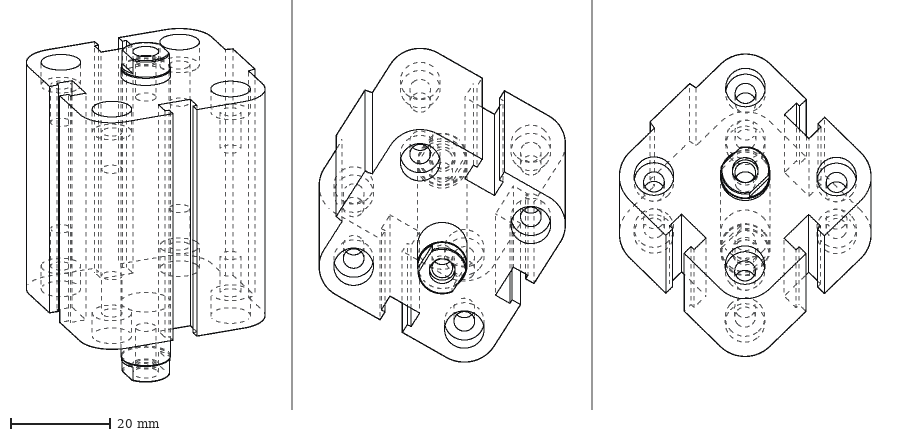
import cadquery as cq


HOUSING_SIDE = 40.0
HOUSING_HEIGHT = 49.7
CORNER_RADIUS = 7.0
END_CAP_HEIGHT = 13.2

RAIL_BASE_WIDTH = 11.85
RAIL_TOP_WIDTH = 11.3
RAIL_RISE = 1.55

SLOT_MOUTH_WIDTH = 5.2
SLOT_INNER_WIDTH = 7.0
SLOT_LIP = 2.0
SLOT_DEPTH = 5.35
SLOT_SIDE_ANGLES = (-90, 0, 180)

HOLE_PITCH = HOUSING_SIDE - 2 * CORNER_RADIUS
HOLE_DIAMETER = 4.15
COUNTERBORE_DIAMETER = 8.0
COUNTERBORE_DEPTH = 5.0
HOLE_DEPTH = END_CAP_HEIGHT

ROD_DIAMETER = 10.0
ROD_LENGTH = 70.5
ROD_TOP_PROJECTION = 5.3
ROD_BOTTOM_PROJECTION = ROD_LENGTH - HOUSING_HEIGHT - ROD_TOP_PROJECTION
ROD_BOTTOM_Z = -ROD_BOTTOM_PROJECTION
ROD_TOP_Z = HOUSING_HEIGHT + ROD_TOP_PROJECTION
ROD_MIDDLE_Z = (ROD_BOTTOM_Z + ROD_TOP_Z) / 2

NECK_DIAMETER = 9.8
NECK_LENGTH = 3.5
SHOULDER_CHAMFER_LENGTH = 0.2
TIP_CHAMFER = 0.2
FLATS_WIDTH = 8.05
FLATS_LENGTH = 3.0

ROD_BORE_DIAMETER = 4.15
ROD_BORE_DEPTH = 10.0
ROD_RECESS_DIAMETER = 5.2
ROD_RECESS_DEPTH = 2.0


def mirrored_ends(feature, middle_z):
    """Return a feature at the upper end and its mirror image at the lower end."""
    return feature, feature.mirror("XY", (0, 0, middle_z))


def stepped_bore(wide_diameter, wide_depth, narrow_diameter, narrow_depth, x, y, top_z):
    """Cutting tool for a blind hole going down from top_z, with a wider mouth."""
    mouth = cq.Workplane(origin=(x, y, top_z)).circle(wide_diameter / 2).extrude(-wide_depth)
    bore = cq.Workplane(origin=(x, y, top_z)).circle(narrow_diameter / 2).extrude(-narrow_depth)
    return mouth.union(bore)


def rail():
    """Rail along the +Y side; its cross-section is a shallow trapezoid."""
    base_y = HOUSING_SIDE / 2
    return (
        cq.Workplane()
        .moveTo(-RAIL_BASE_WIDTH / 2, base_y)
        .lineTo(-RAIL_TOP_WIDTH / 2, base_y + RAIL_RISE)
        .lineTo(RAIL_TOP_WIDTH / 2, base_y + RAIL_RISE)
        .lineTo(RAIL_BASE_WIDTH / 2, base_y)
        .close()
        .extrude(HOUSING_HEIGHT)
    )


def t_slot(angle):
    """Cutting tool for a full-length T-slot, open to the side that faces the given angle."""
    side_x = HOUSING_SIDE / 2
    floor_x = side_x - SLOT_DEPTH
    lip_x = side_x - SLOT_LIP
    mouth = (
        cq.Workplane()
        .center((floor_x + side_x) / 2, 0)
        .rect(SLOT_DEPTH, SLOT_MOUTH_WIDTH)
        .extrude(HOUSING_HEIGHT)
    )
    channel = (
        cq.Workplane()
        .center((floor_x + lip_x) / 2, 0)
        .rect(lip_x - floor_x, SLOT_INNER_WIDTH)
        .extrude(HOUSING_HEIGHT)
    )
    return mouth.union(channel).rotate((0, 0, 0), (0, 0, 1), angle)


def make_housing():
    body = (
        cq.Workplane()
        .rect(HOUSING_SIDE, HOUSING_SIDE)
        .extrude(HOUSING_HEIGHT)
        .edges("|Z")
        .fillet(CORNER_RADIUS)
        .union(rail())
    )
    for angle in SLOT_SIDE_ANGLES:
        body = body.cut(t_slot(angle))

    for x in (-HOLE_PITCH / 2, HOLE_PITCH / 2):
        for y in (-HOLE_PITCH / 2, HOLE_PITCH / 2):
            upper_hole = stepped_bore(
                COUNTERBORE_DIAMETER, COUNTERBORE_DEPTH, HOLE_DIAMETER, HOLE_DEPTH, x, y, HOUSING_HEIGHT
            )
            for hole in mirrored_ends(upper_hole, HOUSING_HEIGHT / 2):
                body = body.cut(hole)

    rod_bore = cq.Workplane().circle(ROD_DIAMETER / 2).extrude(HOUSING_HEIGHT)
    return body.cut(rod_bore)


def rod_blank():
    """Turned rod: half of its section, from the middle to the upper tip, revolved and mirrored."""
    rod_radius = ROD_DIAMETER / 2
    neck_radius = NECK_DIAMETER / 2
    neck_z = ROD_TOP_Z - NECK_LENGTH
    upper_half = (
        cq.Workplane("XZ")
        .moveTo(0, ROD_MIDDLE_Z)
        .lineTo(rod_radius, ROD_MIDDLE_Z)
        .lineTo(rod_radius, neck_z - SHOULDER_CHAMFER_LENGTH)
        .lineTo(neck_radius, neck_z)
        .lineTo(neck_radius, ROD_TOP_Z - TIP_CHAMFER)
        .lineTo(neck_radius - TIP_CHAMFER, ROD_TOP_Z)
        .lineTo(0, ROD_TOP_Z)
        .close()
        .revolve(360, (0, 0, 0), (0, 1, 0))
    )
    upper, lower = mirrored_ends(upper_half, ROD_MIDDLE_Z)
    return upper.union(lower)


def wrench_flats():
    """Cutting tool that removes the two segments outside the flats at the upper rod end."""
    tip = cq.Workplane(origin=(0, 0, ROD_TOP_Z))
    surround = tip.rect(ROD_DIAMETER, ROD_DIAMETER)
    return surround.extrude(-FLATS_LENGTH).cut(tip.rect(ROD_DIAMETER, FLATS_WIDTH).extrude(-FLATS_LENGTH))


def make_rod():
    rod = rod_blank()
    upper_bore = stepped_bore(
        ROD_RECESS_DIAMETER, ROD_RECESS_DEPTH, ROD_BORE_DIAMETER, ROD_BORE_DEPTH, 0, 0, ROD_TOP_Z
    )
    for end_feature in (wrench_flats(), upper_bore):
        for cutter in mirrored_ends(end_feature, ROD_MIDDLE_Z):
            rod = rod.cut(cutter)
    return rod


housing = make_housing()
rod = make_rod()

result = cq.Compound.makeCompound([housing.val(), rod.val()])